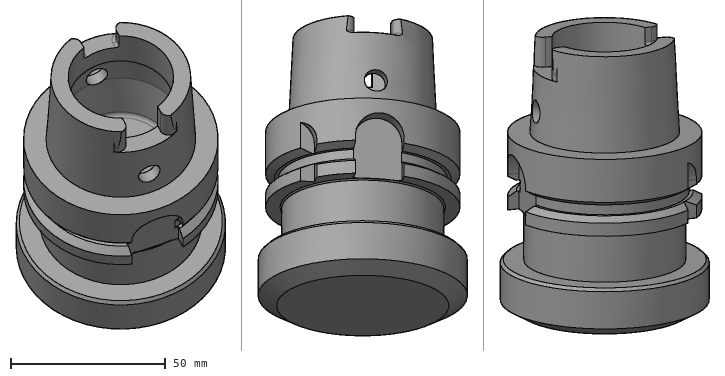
import cadquery as cq
import math


total_height = 91.9
base_height = 17.0
flange_bottom = 34.0
taper_height = 32.0
taper_base = total_height - taper_height

base_radius = 67.7 / 2
base_bottom_chamfer = 6.0
base_bottom_chamfer_angle = 30
base_top_chamfer = 1.0

neck_radius = 52.5 / 2
neck_chamfer = 0.5

flange_radius = 62.94 / 2
groove_radius = 27.4
groove_mouth_bottom = 38.4
groove_floor_bottom = 40.05
groove_floor_top = 43.75
groove_chamfer_height = groove_floor_bottom - groove_mouth_bottom
groove_chamfer_angle = 30
groove_lip_radius = flange_radius - groove_chamfer_height / math.tan(math.radians(groove_chamfer_angle))

taper_base_radius = 24.2
taper_ratio = 1 / 10
taper_top_radius = taper_base_radius - taper_height * taper_ratio / 2

bore_radius = 34.05 / 2
undercut_radius = 40.08 / 2
undercut_cone_angle = 60
undercut_start = 13.0
undercut_end = 25.7
cavity_depth = 40.8
cavity_floor_fillet = 1.35
undercut_cone_height = (undercut_radius - bore_radius) / math.tan(math.radians(undercut_cone_angle))

cross_hole_diameter = 7.5
cross_hole_depth = 22.85

slot_half_width = 6.2
slot_corner_radius = 2.8
slot_corner_start = 18.1
slot_overreach = 8.0
slot_depth_left = 6.0
slot_depth_right = 10.1
slot_floor_fillet = 1.2

keyway_floor = neck_radius
keyway_top = 55.0
keyway_left_radius = 8.0
keyway_right_radius = 9.0
notch_floor = 20.15
notch_wall = 19.65
notch_radius = 8.0
cut_overreach = 20.0


def outer_body():
    bottom_chamfer_height = base_bottom_chamfer * math.tan(math.radians(base_bottom_chamfer_angle))
    profile = [
        (0, 0),
        (base_radius - base_bottom_chamfer, 0),
        (base_radius, bottom_chamfer_height),
        (base_radius, base_height - base_top_chamfer),
        (base_radius - base_top_chamfer, base_height),
        (neck_radius, base_height),
        (neck_radius, flange_bottom - neck_chamfer),
        (neck_radius + neck_chamfer, flange_bottom),
        (flange_radius, flange_bottom),
        (flange_radius, groove_mouth_bottom),
        (groove_lip_radius, groove_floor_bottom),
        (groove_radius, groove_floor_bottom),
        (groove_radius, groove_floor_top),
        (groove_lip_radius, groove_floor_top),
        (flange_radius, groove_floor_top + groove_chamfer_height),
        (flange_radius, taper_base),
        (taper_base_radius, taper_base),
        (taper_top_radius, total_height),
        (0, total_height),
    ]
    return cq.Workplane("XZ").polyline(profile).close().revolve(360, (0, 0), (0, 1))


def cavity():
    floor = total_height - cavity_depth
    cone_top = total_height - undercut_start
    wall_bottom = total_height - undercut_end
    fillet_drop = cavity_floor_fillet * (1 - math.sqrt(0.5))
    return (
        cq.Workplane("XZ")
        .moveTo(0, total_height)
        .lineTo(bore_radius, total_height)
        .lineTo(bore_radius, cone_top)
        .lineTo(undercut_radius, cone_top - undercut_cone_height)
        .lineTo(undercut_radius, wall_bottom)
        .lineTo(bore_radius, floor + cavity_floor_fillet)
        .threePointArc(
            (bore_radius - fillet_drop, floor + fillet_drop),
            (bore_radius - cavity_floor_fillet, floor),
        )
        .lineTo(0, floor)
        .close()
        .revolve(360, (0, 0), (0, 1))
    )


def drive_slot(side, depth, floor_fillet):
    """Slot through the rim on one side, its walls rolling outward round convex corners."""
    center_y = slot_half_width + slot_corner_radius
    mid_x = slot_corner_start + slot_corner_radius
    corner_offset = slot_corner_radius * math.sqrt(0.5)
    end_x = slot_corner_start + corner_offset
    end_y = center_y + corner_offset
    outer_x = end_x + slot_overreach
    outer_y = end_y + slot_overreach
    slot = (
        cq.Workplane("XY", origin=(0, 0, total_height - depth))
        .moveTo(0, slot_half_width)
        .lineTo(side * slot_corner_start, slot_half_width)
        .threePointArc((side * mid_x, center_y), (side * end_x, end_y))
        .lineTo(side * outer_x, outer_y)
        .lineTo(side * outer_x, -outer_y)
        .lineTo(side * end_x, -end_y)
        .threePointArc((side * mid_x, -center_y), (side * slot_corner_start, -slot_half_width))
        .lineTo(0, -slot_half_width)
        .close()
        .extrude(depth)
    )
    if floor_fillet:
        slot = slot.faces("<Z").edges().fillet(floor_fillet)
    return slot


def round_topped_cut(center_y, radius, floor_x, side):
    """Round-topped cut into the flange side, open at the flange underside."""
    spring = keyway_top - radius
    return (
        cq.Workplane("YZ", origin=(side * floor_x, 0, 0))
        .moveTo(center_y - radius, flange_bottom)
        .lineTo(center_y - radius, spring)
        .threePointArc((center_y, keyway_top), (center_y + radius, spring))
        .lineTo(center_y + radius, flange_bottom)
        .close()
        .extrude(side * cut_overreach)
    )


def cross_hole():
    hole_z = total_height - cross_hole_depth
    return (
        cq.Workplane("YZ", origin=(0, 0, hole_z))
        .circle(cross_hole_diameter / 2)
        .extrude(taper_base_radius, both=True)
    )


result = outer_body().cut(cavity()).cut(cross_hole())
result = result.cut(drive_slot(-1, slot_depth_left, slot_floor_fillet))
result = result.cut(drive_slot(1, slot_depth_right, 0))
result = result.cut(round_topped_cut(0, keyway_left_radius, keyway_floor, -1))
result = result.cut(round_topped_cut(0, keyway_right_radius, keyway_floor, 1))
result = result.cut(round_topped_cut(notch_wall + notch_radius, notch_radius, notch_floor, -1))